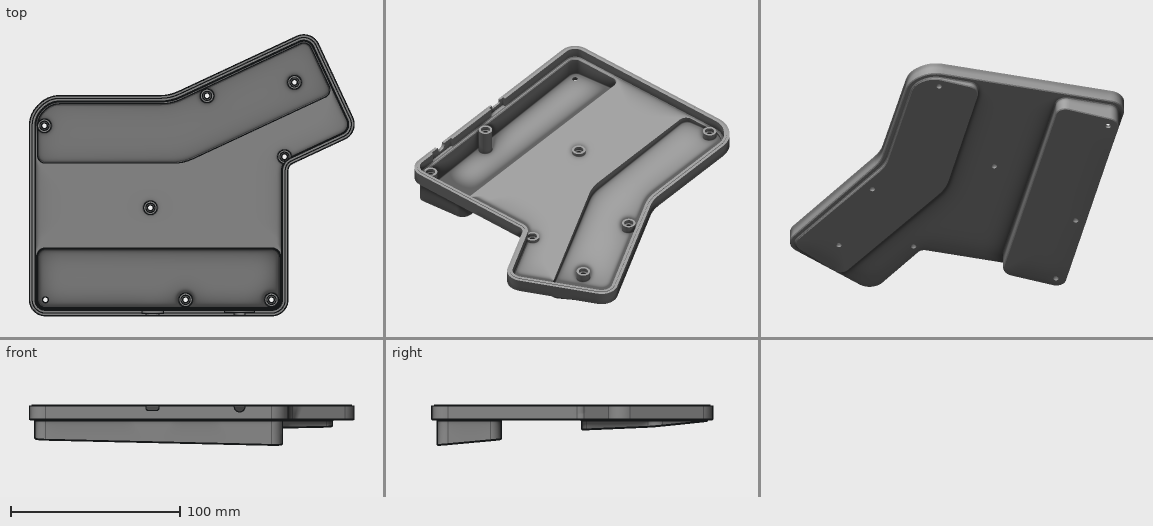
import cadquery as cq
import math

BODY_WIDTH = 152.95
BODY_LENGTH = 130.3
CORNER_RADIUS = 9.6
BACK_LEFT_CUT = 11.0
BACK_LEFT_RADIUS = 16.9
ARM_ANGLE = 25.0
ARM_START_X = 83.05
ARM_LENGTH = 92.55
ARM_WIDTH = 67.05
BACK_BEND_RADIUS = 24.0
ARMPIT_RADIUS = 4.7

TRAY_HEIGHT = 8.7
WALL = 3.25
FLOOR = 2.2
RIM_STEP_WIDTH = 1.65
RIM_STEP_HEIGHT = 0.4
EDGE_BREAK = 0.55

FOOT_INSET = 3.2
FRONT_FOOT_DEPTH = 38.05
BACK_FOOT_DEPTH = 38.5
ARM_FOOT_DEPTH = 38.15
FOOT_RADIUS = CORNER_RADIUS - FOOT_INSET
BACK_FOOT_BEND_RADIUS = 30.0
FOOT_WALL = 1.65
FOOT_FLOOR = 2.2
RECESS_FILLET = 0.7
FOOT_DROP = 15.22
SLOPE_X = 0.0229
SLOPE_Y = 0.092

FLAT_FLOOR_BOSSES = [(71.6, 63.9), (150.9, 94.1)]
FOOT_FLOOR_BOSSES = [
    (9.5, 9.5),
    (92.4, 9.5),
    (143.2, 9.5),
    (8.9, 112.4),
    (105.1, 130.1),
    (156.8, 138.1),
]
BOSS_TOP = 4.5
BOSS_RADIUS = 4.0
BOSS_BASE_FILLET = 0.4
BOSS_COUNTERBORE_RADIUS = 2.7
BOSS_COUNTERBORE_DEPTH = BOSS_TOP - FLOOR
SCREW_RADIUS = 1.65

USB_X = 72.8
USB_WIDTH = 7.5
USB_DEPTH = 3.0
USB_RADIUS = 1.0
USB_POCKET_X = 73.0
USB_POCKET_WIDTH = 12.8
USB_POCKET_Y = 1.3
JACK_X = 124.35
JACK_RADIUS = 3.2
JACK_DEPTH = 4.0
JACK_POCKET_X = 124.3
JACK_POCKET_WIDTH = 18.0
JACK_POCKET_Y = 2.0

REACH = 300.0

ARM_COS = math.cos(math.radians(ARM_ANGLE))
ARM_SIN = math.sin(math.radians(ARM_ANGLE))


def arm_point(along, across):
    """Point measured along the back edge of the arm and inwards from it."""
    x = ARM_START_X + along * ARM_COS + across * ARM_SIN
    y = BODY_LENGTH + along * ARM_SIN - across * ARM_COS
    return x, y


def bend_point(inset, arm_inset):
    """Where lines parallel to the back edge and to the arm meet."""
    x = ARM_START_X + (arm_inset - inset * ARM_COS) / ARM_SIN
    return x, BODY_LENGTH - inset


def back_left_corners(inset):
    """The two rounded corners of the 45 degree cut, from the back edge to the left side."""
    cut = BACK_LEFT_CUT - inset * (2 - math.sqrt(2))
    back_y = BODY_LENGTH - inset
    radius = BACK_LEFT_RADIUS - inset
    return [((inset + cut, back_y), radius), ((inset, back_y - cut), radius)]


def rounded_wire(corners):
    """Closed wire through (point, radius) corners, each rounded by an arc."""
    path = None
    for i, (corner, radius) in enumerate(corners):
        here = cq.Vector(*corner)
        back = (cq.Vector(*corners[i - 1][0]) - here).normalized()
        ahead = (cq.Vector(*corners[(i + 1) % len(corners)][0]) - here).normalized()
        half_angle = back.getAngle(ahead) / 2
        tangent = radius / math.tan(half_angle)
        middle = radius / math.sin(half_angle) - radius
        start = here + back * tangent
        mid = here + (back + ahead).normalized() * middle
        end = here + ahead * tangent
        path = path.lineTo(start.x, start.y) if path else cq.Workplane().moveTo(start.x, start.y)
        path = path.threePointArc(mid.toTuple(), end.toTuple())
    return path.close()


def tray_outline(inset=0.0):
    far_x = BODY_WIDTH - inset
    arm_across = ARM_WIDTH - inset
    armpit_along = (far_x - ARM_START_X - arm_across * ARM_SIN) / ARM_COS
    return rounded_wire([
        ((inset, inset), CORNER_RADIUS - inset),
        ((far_x, inset), CORNER_RADIUS - inset),
        (arm_point(armpit_along, arm_across), ARMPIT_RADIUS + inset),
        (arm_point(ARM_LENGTH - inset, arm_across), CORNER_RADIUS - inset),
        (arm_point(ARM_LENGTH - inset, inset), CORNER_RADIUS - inset),
        (bend_point(inset, inset), BACK_BEND_RADIUS + inset),
        *back_left_corners(inset),
    ])


def front_foot_outline(inset=0.0):
    near = FOOT_INSET + inset
    far_x = BODY_WIDTH - near
    far_y = FOOT_INSET + FRONT_FOOT_DEPTH - inset
    radius = FOOT_RADIUS - inset
    points = [(near, near), (far_x, near), (far_x, far_y), (near, far_y)]
    return rounded_wire([(point, radius) for point in points])


def back_foot_outline(inset=0.0):
    near = FOOT_INSET + inset
    far = FOOT_INSET + BACK_FOOT_DEPTH - inset
    arm_far = FOOT_INSET + ARM_FOOT_DEPTH - inset
    radius = FOOT_RADIUS - inset
    return rounded_wire([
        ((near, BODY_LENGTH - far), radius),
        (bend_point(far, arm_far), BACK_FOOT_BEND_RADIUS - inset),
        (arm_point(ARM_LENGTH - near, arm_far), radius),
        (arm_point(ARM_LENGTH - near, near), radius),
        (bend_point(near, near), BACK_BEND_RADIUS + near),
        *back_left_corners(near),
    ])


def foot_plane(lift):
    """The sloping plane of the soles, raised by lift."""
    corner_x = BODY_WIDTH - FOOT_INSET
    normal = (SLOPE_X, -SLOPE_Y, 1)
    return cq.Plane(origin=(corner_x, FOOT_INSET, lift - FOOT_DROP), normal=normal)


def half_space(plane, height):
    """Block larger than the part, above the plane or below it where height is negative."""
    return cq.Workplane(plane).rect(2 * REACH, 2 * REACH).extrude(height)


def foot(outline):
    """Foot with a chamfered sole, flared where it meets the tray."""
    block = outline().extrude(-2 * FOOT_DROP)
    block = block.intersect(half_space(foot_plane(0), REACH))
    block = block.faces("<Z").edges().chamfer(EDGE_BREAK)
    flare = outline(-EDGE_BREAK).extrude(-EDGE_BREAK, taper=45)
    return block.union(flare.intersect(half_space(foot_plane(0), REACH)))


def recess(outline):
    """Hollow of a foot, with a flat sloping floor and a fillet around it."""
    block = outline(FOOT_WALL).extrude(-2 * FOOT_DROP - FLOOR).translate((0, 0, FLOOR))
    block = block.intersect(half_space(foot_plane(FOOT_FLOOR), REACH))
    return block.faces("<Z").edges().fillet(RECESS_FILLET)


def recess_mouth(outline):
    """Chamfer where a recess opens into the tray floor."""
    mouth = outline(FOOT_WALL - EDGE_BREAK).extrude(-EDGE_BREAK, taper=45)
    return mouth.translate((0, 0, FLOOR))


def tray():
    shell = tray_outline().extrude(TRAY_HEIGHT - RIM_STEP_HEIGHT)
    shell = shell.faces("<Z").edges().chamfer(EDGE_BREAK)
    return shell.union(tray_outline(RIM_STEP_WIDTH).extrude(TRAY_HEIGHT - FLOOR).translate((0, 0, FLOOR)))


def tray_hollow():
    hollow = tray_outline(WALL).extrude(TRAY_HEIGHT).translate((0, 0, FLOOR))
    return hollow.faces("<Z").edges().chamfer(EDGE_BREAK)


def boss(centre, floor_plane):
    """Post filleted onto a disc of ground that lies within the floor below it."""
    post = cq.Workplane(origin=(*centre, BOSS_TOP)).circle(BOSS_RADIUS).extrude(-BOSS_TOP - FOOT_DROP)
    ground = cq.Workplane(origin=(*centre, 0)).circle(2 * BOSS_RADIUS).extrude(2 * FOOT_DROP, both=True)
    joint = post.union(ground.intersect(half_space(floor_plane, -REACH)))
    reach = BOSS_RADIUS + BOSS_BASE_FILLET
    low = (centre[0] - reach, centre[1] - reach, -FOOT_DROP)
    high = (centre[0] + reach, centre[1] + reach, BOSS_TOP - BOSS_BASE_FILLET)
    foot_of_post = cq.selectors.BoxSelector(low, high, boundingbox=True)
    return joint.edges(foot_of_post).fillet(BOSS_BASE_FILLET)


def screw_hole(centre):
    top = cq.Workplane(origin=(*centre, BOSS_TOP))
    hole = top.circle(SCREW_RADIUS).extrude(-REACH)
    return hole.union(top.circle(BOSS_COUNTERBORE_RADIUS).extrude(-BOSS_COUNTERBORE_DEPTH))


def front_pocket(x, width, y):
    """Thins the front wall from the inside behind a connector."""
    bottom = FLOOR + EDGE_BREAK
    corner = (x - width / 2, y, bottom)
    return cq.Workplane().box(width, WALL - y, TRAY_HEIGHT, centered=False).translate(corner)


def usb_notch():
    notch = cq.Workplane("XY").box(USB_WIDTH, 2 * WALL, 2 * USB_DEPTH)
    notch = notch.edges("|Y and <Z").fillet(USB_RADIUS)
    return notch.translate((USB_X, 0, TRAY_HEIGHT))


def jack_notch():
    centre_z = TRAY_HEIGHT - JACK_DEPTH + JACK_RADIUS
    notch = cq.Workplane("XZ").circle(JACK_RADIUS).extrude(WALL, both=True)
    slot = cq.Workplane().box(2 * JACK_RADIUS, 2 * WALL, JACK_RADIUS, centered=(True, True, False))
    return notch.union(slot).translate((JACK_X, 0, centre_z))


outer = tray().union(foot(front_foot_outline)).union(foot(back_foot_outline))
hollow = tray_hollow().union(recess(front_foot_outline)).union(recess(back_foot_outline))
hollow = hollow.union(recess_mouth(front_foot_outline))
result = outer.cut(hollow)

tray_floor_plane = cq.Plane(origin=(0, 0, FLOOR))
for centre in FLAT_FLOOR_BOSSES:
    result = result.union(boss(centre, tray_floor_plane).intersect(outer))
for centre in FOOT_FLOOR_BOSSES:
    result = result.union(boss(centre, foot_plane(FOOT_FLOOR)).intersect(outer))
for centre in FLAT_FLOOR_BOSSES + FOOT_FLOOR_BOSSES:
    result = result.cut(screw_hole(centre))

result = result.cut(front_pocket(USB_POCKET_X, USB_POCKET_WIDTH, USB_POCKET_Y))
result = result.cut(front_pocket(JACK_POCKET_X, JACK_POCKET_WIDTH, JACK_POCKET_Y))
result = result.cut(usb_notch()).cut(jack_notch())